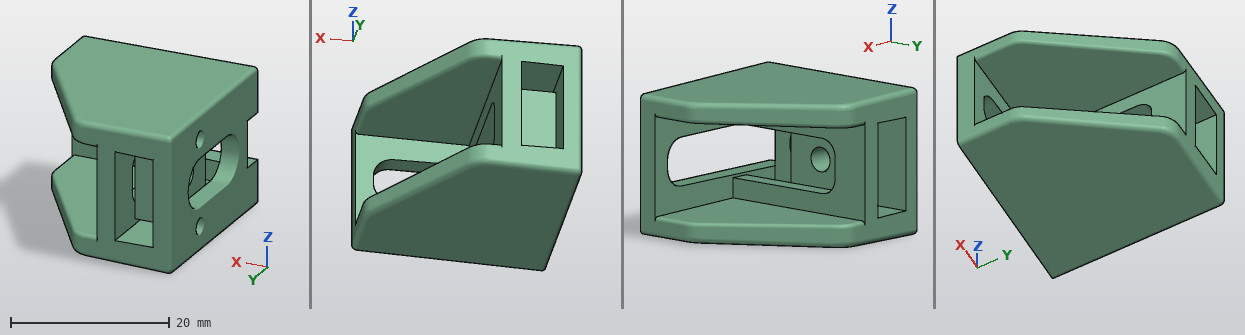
import cadquery as cq
import math

LENGTH = 25.0
WIDTH = 25.0
HEIGHT = 19.0
DRAFT_SLOPE = math.tan(math.radians(1.0))
SLOPE_START_X = 13.6
SLOPE_END_Y = 8.6
CORNER_RADIUS = 3.0
RIM_RADIUS = 0.75
BACK_RADIUS = 0.55

LEG_THICKNESS = 2.95
CAVITY_HALF_HEIGHT = 6.0
MOUTH_RADIUS = 0.5
BACK_WALL = 2.5

RIB_START_X = 7.88
RIB_THICKNESS = 2.5
RIB_SLOT_HALF_HEIGHT = 3.58
RIB_SLOT_END_Y = 20.0
RIB_SLOT_RADIUS = 2.25

FRONT_SLOT_HALF_HEIGHT = 3.25
FRONT_SLOT_END_HALF_HEIGHT = 3.15
FRONT_SLOT_END_X = 22.65
FRONT_SLOT_RADIUS = 2.6

BACK_SLOT_RADIUS = 3.32
BACK_SLOT_FAR_Y = 16.5
BACK_SLOT_NEAR_Y = 8.75
SCREW_HOLE_RADIUS = 1.05
SCREW_HOLE_DEPTH = 2.0
SCREW_HOLE_Z = 6.0
OPENING_RADIUS = 0.2

BLOCK_THICKNESS = 5.0
BLOCK_SIDE = 10.0
BLOCK_CENTRE_Y = 15.0
BLOCK_HOLE_DIAMETER = 3.2

MARGIN = 0.25


def tapered_prism(half_height, slope):
    """Full-length prism along Y whose half height changes with x at the given slope."""
    end_half_height = half_height + slope * LENGTH
    return (
        cq.Workplane("XZ")
        .polyline([
            (0, -half_height),
            (LENGTH, -end_half_height),
            (LENGTH, end_half_height),
            (0, half_height),
        ])
        .close()
        .extrude(-WIDTH)
    )


def plan_prism(points):
    """Prism along Z over the whole height from an outline in plan."""
    return cq.Workplane("XY").polyline(points).close().extrude(HEIGHT / 2, both=True)


def make_outer_block():
    plan = plan_prism([
        (0, 0),
        (LENGTH, 0),
        (LENGTH, SLOPE_END_Y),
        (SLOPE_START_X, WIDTH),
        (0, WIDTH),
    ])
    corner_edges = cq.selectors.BoxSelector(
        (SLOPE_START_X - MARGIN, SLOPE_END_Y - MARGIN, -MARGIN),
        (LENGTH + MARGIN, WIDTH + MARGIN, MARGIN),
    )
    plan = plan.edges("|Z").edges(corner_edges).fillet(CORNER_RADIUS)
    block = plan.intersect(tapered_prism(HEIGHT / 2, -DRAFT_SLOPE))
    rims = block.faces(">Z or <Z").edges("not(<X or <Y)")
    block = rims.fillet(RIM_RADIUS)
    return block.faces("<X").edges("not <Y").fillet(BACK_RADIUS)


def make_cavity():
    """Drafted space behind the front leg and the -X wall."""
    plan = plan_prism([
        (BACK_WALL, LEG_THICKNESS - DRAFT_SLOPE * BACK_WALL),
        (LENGTH, LEG_THICKNESS - DRAFT_SLOPE * LENGTH),
        (LENGTH, WIDTH),
        (BACK_WALL, WIDTH),
    ])
    return plan.intersect(tapered_prism(CAVITY_HALF_HEIGHT, DRAFT_SLOPE))


def make_rib_space():
    """Space taken by the rib, less the slot that runs up to the front leg."""
    rib = (
        cq.Workplane("XY")
        .box(RIB_THICKNESS, WIDTH, HEIGHT, centered=(False, False, True))
        .translate((RIB_START_X, 0, 0))
    )
    slot = (
        cq.Workplane("XY")
        .box(RIB_THICKNESS, RIB_SLOT_END_Y, 2 * RIB_SLOT_HALF_HEIGHT, centered=(False, False, True))
        .edges("|X and >Y")
        .fillet(RIB_SLOT_RADIUS)
        .translate((RIB_START_X, 0, 0))
    )
    return rib.cut(slot)


def make_front_slot():
    """Slot through the front leg, narrowing slightly towards its rounded end."""
    return (
        cq.Workplane("XZ")
        .polyline([
            (0, -FRONT_SLOT_HALF_HEIGHT),
            (FRONT_SLOT_END_X, -FRONT_SLOT_END_HALF_HEIGHT),
            (FRONT_SLOT_END_X, FRONT_SLOT_END_HALF_HEIGHT),
            (0, FRONT_SLOT_HALF_HEIGHT),
        ])
        .close()
        .extrude(-LEG_THICKNESS)
        .edges("|Y and >X")
        .fillet(FRONT_SLOT_RADIUS)
    )


def cut_back_openings(housing):
    """Cut the slot and the blind screw holes into the -X wall and round their mouths."""
    slot_length = BACK_SLOT_FAR_Y - BACK_SLOT_NEAR_Y + 2 * BACK_SLOT_RADIUS
    slot = (
        cq.Workplane("YZ")
        .center((BACK_SLOT_FAR_Y + BACK_SLOT_NEAR_Y) / 2, 0)
        .slot2D(slot_length, 2 * BACK_SLOT_RADIUS)
        .extrude(BACK_WALL)
    )
    screw_holes = (
        cq.Workplane("YZ")
        .pushPoints([(BACK_SLOT_FAR_Y, -SCREW_HOLE_Z), (BACK_SLOT_FAR_Y, SCREW_HOLE_Z)])
        .circle(SCREW_HOLE_RADIUS)
        .extrude(SCREW_HOLE_DEPTH)
    )
    housing = housing.cut(slot).cut(screw_holes)
    reach_y = BACK_SLOT_RADIUS + MARGIN
    reach_z = SCREW_HOLE_Z + SCREW_HOLE_RADIUS + MARGIN
    around_openings = cq.selectors.BoxSelector(
        (-MARGIN, BACK_SLOT_NEAR_Y - reach_y, -reach_z),
        (MARGIN, BACK_SLOT_FAR_Y + reach_y, reach_z),
    )
    return housing.edges(around_openings).fillet(OPENING_RADIUS)


def round_cavity_mouth(housing):
    """Round the cavity edges along the +X, sloping and rounded corner sides."""
    reach_z = CAVITY_HALF_HEIGHT + DRAFT_SLOPE * LENGTH + MARGIN
    along_mouth = cq.selectors.BoxSelector(
        (RIB_START_X + RIB_THICKNESS + MARGIN, LEG_THICKNESS, -reach_z),
        (LENGTH + MARGIN, WIDTH - MARGIN, reach_z),
    )
    return housing.edges(along_mouth).edges("not |Z").fillet(MOUTH_RADIUS)


def make_housing():
    housing = make_outer_block().cut(make_cavity().cut(make_rib_space()))
    housing = round_cavity_mouth(housing)
    housing = housing.cut(make_front_slot())
    return cut_back_openings(housing)


def make_slide_block():
    return (
        cq.Workplane("YZ", origin=(BACK_WALL, BLOCK_CENTRE_Y, 0))
        .rect(BLOCK_SIDE, BLOCK_SIDE)
        .circle(BLOCK_HOLE_DIAMETER / 2)
        .extrude(BLOCK_THICKNESS)
    )


housing = make_housing()
slide_block = make_slide_block()

result = cq.Compound.makeCompound([housing.solids().val(), slide_block.val()])